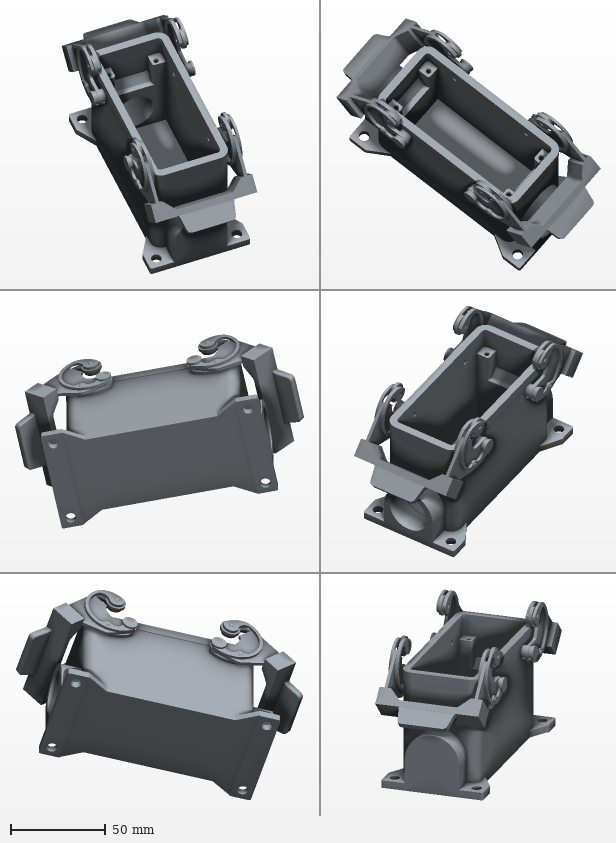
import cadquery as cq
import math

BODY_HALF_X = 47.1
BODY_HALF_Y = 21.8
BODY_CORNER_R = 6.2
BODY_BOTTOM = 0.5
RIM_LIP = 0.3
RIM_BOTTOM = 57.4
RIM_TOP = 63.0
CAVITY_HALF_X = 43.2
CAVITY_HALF_Y = 18.0
CAVITY_CORNER_R = 2.1
FLOOR_Z = 4.2

POST_FACE_X = 35.9
POST_SIDE_Y = 10.6
POST_TOP = 51.0
POST_EDGE_R = 1.5
POST_HOLE_X = 38.6
POST_HOLE_Y = 13.5
POST_HOLE_R = 1.2
POST_HOLE_CHAMFER = 0.5
POST_HOLE_DEPTH = 9.1
LEDGE_Z = 35.3
RAMP_START_X = 39.1
RAMP_TOP = 39.5

FOOT_END_X = 58.6
FOOT_HALF_Y = 28.6
FOOT_TOP = 4.2
FOOT_CORNER_R = 1.0
GUSSET_END_X = 35.6
FOOT_HOLE_X = 52.7
FOOT_HOLE_Y = 23.0
FOOT_HOLE_R = 2.8

ENTRY_Z = 17.9
ENTRY_R = 15.3
MOUTH_R = 11.59
MOUTH_DEPTH = 13.5
BORE_R = 11.29

INNER_CLIP_Y = 22.4
PLATE_IN_Y = 24.4
PLATE_OUT_Y = 26.2
OUTER_CLIP_Y = 27.7
RIVET_HEAD_Y = 28.2
PIVOT_HEAD_Y = 29.0
CROSSBAR_HALF_Y = 29.01

CLIP_CENTRE = (-32.9, 62.3)
CLIP_OUTER_R = 16.2
CLIP_INNER_R = 14.4
CLIP_TOP_ANGLE = 119
HOOK = (-31.7, 71.2)
HOOK_R = 4.2
ROLLER_R = 5.5
PIVOT = (-24.5, 53.5)
PIVOT_R = 4.1
PIVOT_SHAFT_R = 3.6
PIN_HOLE_R = 1.5
PIN_HOLE_DEPTH = 1.0
RIVET = (-36.7, 49.2)
RIVET_R = 1.4
RIVET_CHAMFER = 0.38
RIVET_DIMPLE_R = 1.0
RIVET_DIMPLE_DEPTH = 0.5
RIVET_PAD_R = 2.3
PLATE_LOBE_R = 5.2
ARM_EDGE_LENGTH = 22.1

BAR_CORNER = (-60.0, 57.9)
BAR_ANGLE = 45
BAR_DEPTH = 14.2
BAR_LENGTH = 10.0
BAR_WEB = 3.8
OPENING_TOP_HALF_Y = 22.4
OPENING_BASE_HALF_Y = 16.2
OPENING_FILLET_R = 2.5
TAB_ANGLE = 34
TAB_THICKNESS = 3.8
TAB_TIP = (-75.7, 44.8)
TAB_TIP_HALF_Y = 13.6
TAB_NECK_HALF_Y = 15.3
TAB_ROOT_HALF_Y = 18.5
TAB_NECK_X = 8.8
TAB_LENGTH = 13.3
TAB_CORNER_R = 2.5
TAB_EDGE_R = 0.5
TAB_FLARE_MID = (11.2, 16.4)


def rounded_block(half_x, half_y, z_low, z_high, corner_r):
    block = cq.Workplane("XY").workplane(offset=z_low).rect(2 * half_x, 2 * half_y)
    return block.extrude(z_high - z_low).edges("|Z").fillet(corner_r)


def box(x_range, y_range, z_range):
    sizes = [high - low for low, high in (x_range, y_range, z_range)]
    return cq.Workplane("XY").box(*sizes, centered=False).translate((x_range[0], y_range[0], z_range[0]))


def with_mirror(shape, plane):
    return shape.union(shape.mirror(plane))


def on_circle(centre, radius, degrees):
    angle = math.radians(degrees)
    return (centre[0] + radius * math.cos(angle), centre[1] + radius * math.sin(angle))


def layer(profile, y_low, y_high):
    """Extrude an XZ profile between two distances on the -Y side."""
    return profile.extrude(y_high - y_low).translate((0, -y_low, 0))


def disc(centre, radius, y_low, y_high):
    return layer(cq.Workplane("XZ").center(*centre).circle(radius), y_low, y_high)


def make_shell():
    lower = rounded_block(BODY_HALF_X, BODY_HALF_Y, BODY_BOTTOM, RIM_BOTTOM, BODY_CORNER_R)
    rim = rounded_block(BODY_HALF_X + RIM_LIP, BODY_HALF_Y + RIM_LIP, RIM_BOTTOM, RIM_TOP,
                        BODY_CORNER_R + RIM_LIP)
    return lower.union(rim)


def make_feet():
    """Flange strip, gussets and cable boss at the -X end, repeated at +X."""
    strip = box((-FOOT_END_X, -BODY_HALF_X), (-FOOT_HALF_Y, FOOT_HALF_Y), (0, FOOT_TOP))
    strip = strip.edges("|Z and <X").fillet(FOOT_CORNER_R)
    gusset = (
        cq.Workplane("XY").workplane(offset=BODY_BOTTOM)
        .moveTo(-BODY_HALF_X, 0)
        .lineTo(-BODY_HALF_X, -FOOT_HALF_Y)
        .lineTo(-GUSSET_END_X, -BODY_HALF_Y)
        .lineTo(-GUSSET_END_X, 0)
        .close().extrude(FOOT_TOP - BODY_BOTTOM)
    )
    hole_spots = [(-FOOT_HOLE_X, -FOOT_HOLE_Y), (-FOOT_HOLE_X, FOOT_HOLE_Y)]
    holes = cq.Workplane("XY").pushPoints(hole_spots).circle(FOOT_HOLE_R).extrude(FOOT_TOP)
    boss = (
        cq.Workplane("YZ").workplane(offset=-FOOT_END_X)
        .moveTo(-ENTRY_R, 0)
        .lineTo(-ENTRY_R, ENTRY_Z)
        .threePointArc((0, ENTRY_Z + ENTRY_R), (ENTRY_R, ENTRY_Z))
        .lineTo(ENTRY_R, 0)
        .close().extrude(FOOT_END_X - BODY_HALF_X)
    )
    foot = strip.union(with_mirror(gusset, "XZ")).cut(holes).union(boss)
    return with_mirror(foot, "YZ")


def make_cavity():
    """Open-topped space to remove, less the end blocks and the screw posts."""
    cavity = rounded_block(CAVITY_HALF_X, CAVITY_HALF_Y, FLOOR_Z, RIM_TOP, CAVITY_CORNER_R)
    end_block = (
        cq.Workplane("XZ").moveTo(-BODY_HALF_X, FLOOR_Z)
        .lineTo(-POST_FACE_X, FLOOR_Z)
        .lineTo(-POST_FACE_X, LEDGE_Z)
        .lineTo(-RAMP_START_X, LEDGE_Z)
        .lineTo(-CAVITY_HALF_X, RAMP_TOP)
        .lineTo(-BODY_HALF_X, RAMP_TOP)
        .close().extrude(CAVITY_HALF_Y, both=True)
    )
    post = box((-BODY_HALF_X, -POST_FACE_X), (-BODY_HALF_Y, -POST_SIDE_Y), (FLOOR_Z, POST_TOP))
    post = post.edges("|Z and >X and >Y").fillet(POST_EDGE_R)
    hole = (
        cq.Workplane("XZ")
        .lineTo(POST_HOLE_R + POST_HOLE_CHAMFER, 0)
        .lineTo(POST_HOLE_R, -POST_HOLE_CHAMFER)
        .lineTo(POST_HOLE_R, -POST_HOLE_DEPTH)
        .lineTo(0, -POST_HOLE_DEPTH - POST_HOLE_R)
        .close().revolve(360, (0, 0), (0, 1))
    )
    post = post.cut(hole.translate((-POST_HOLE_X, -POST_HOLE_Y, POST_TOP)))
    fittings = end_block.union(with_mirror(post, "XZ"))
    return cavity.cut(with_mirror(fittings, "YZ"))


def make_entry_bore():
    """Stepped bore from the -X boss into the cavity; the +X boss stays blank."""
    bore_start = cq.Workplane("YZ").workplane(offset=-FOOT_END_X).center(0, ENTRY_Z)
    mouth = bore_start.circle(MOUTH_R).extrude(MOUTH_DEPTH)
    return mouth.union(bore_start.circle(BORE_R).extrude(FOOT_END_X - POST_FACE_X))


def clip_profile():
    """C-shaped spring clip: hook end at the top, pivot end at the bottom."""
    def outer(degrees):
        return on_circle(CLIP_CENTRE, CLIP_OUTER_R, degrees)

    def inner(degrees):
        return on_circle(CLIP_CENTRE, CLIP_INNER_R, degrees)

    def hook(degrees):
        return on_circle(HOOK, HOOK_R, degrees)

    def rivet_pad(degrees):
        return on_circle(RIVET, RIVET_PAD_R, degrees)

    return (
        cq.Workplane("XZ")
        .moveTo(*outer(-45))
        .threePointArc(outer(-155), outer(CLIP_TOP_ANGLE))
        .threePointArc((-33.6, 76.5), hook(20))
        .threePointArc(hook(-80), hook(180))
        .threePointArc((-37.9, 73.5), inner(126))
        .threePointArc(inner(180), inner(236))
        .lineTo(*rivet_pad(140))
        .threePointArc(rivet_pad(90), rivet_pad(40))
        .threePointArc((-31.7, 49.2), on_circle(PIVOT, PIVOT_SHAFT_R, 190))
        .lineTo(*PIVOT)
        .close()
    )


def plate_profile():
    """Flat arm between the two clips, running from the pivot to the crossbar."""
    bar_far = on_circle(BAR_CORNER, BAR_DEPTH, BAR_ANGLE - 90)
    return (
        cq.Workplane("XZ")
        .moveTo(*BAR_CORNER)
        .lineTo(*on_circle(BAR_CORNER, ARM_EDGE_LENGTH, BAR_ANGLE))
        .lineTo(-36.4, 66.2)
        .lineTo(-37.1, 65.0)
        .lineTo(-37.1, 63.0)
        .lineTo(-34.4, 58.2)
        .lineTo(-31.8, 57.5)
        .lineTo(PIVOT[0], PIVOT[1] + PIVOT_R)
        .lineTo(PIVOT[0], PIVOT[1] - PIVOT_R)
        .lineTo(*on_circle(RIVET, PLATE_LOBE_R, -60))
        .threePointArc(on_circle(RIVET, PLATE_LOBE_R, -90), on_circle(RIVET, PLATE_LOBE_R, -108))
        .lineTo(*bar_far)
        .close()
    )


def make_lever_arm():
    """One arm on the -Y side: two clips, the plate, the roller, rivets and pivot."""
    arm = layer(plate_profile(), PLATE_IN_Y, PLATE_OUT_Y)
    arm = arm.union(layer(clip_profile(), INNER_CLIP_Y, PLATE_IN_Y))
    arm = arm.union(layer(clip_profile(), PLATE_OUT_Y, OUTER_CLIP_Y))
    arm = arm.union(disc(HOOK, ROLLER_R, PLATE_IN_Y, PLATE_OUT_Y))
    for spot in (HOOK, RIVET):
        rivet = disc(spot, RIVET_R, INNER_CLIP_Y, RIVET_HEAD_Y)
        arm = arm.union(rivet.faces("<Y").chamfer(RIVET_CHAMFER))
        arm = arm.cut(disc(spot, RIVET_DIMPLE_R, INNER_CLIP_Y, INNER_CLIP_Y + RIVET_DIMPLE_DEPTH))
    arm = arm.union(disc(PIVOT, PIVOT_SHAFT_R, CAVITY_HALF_Y, PIVOT_HEAD_Y))
    arm = arm.union(disc(PIVOT, PIVOT_R, PLATE_IN_Y, PLATE_OUT_Y))
    return arm.union(disc(PIVOT, PIVOT_R, OUTER_CLIP_Y, PIVOT_HEAD_Y))


def make_crossbar():
    """Square-ended bar joining both arms, opened in the middle toward the housing.

    Built with X along the lever toward its tip, then mirrored and tilted into place.
    """
    bar = box((0, BAR_LENGTH), (-CROSSBAR_HALF_Y, CROSSBAR_HALF_Y), (-BAR_DEPTH, 0))
    base_x = BAR_LENGTH - BAR_WEB
    opening = (
        cq.Workplane("XY")
        .moveTo(0, -OPENING_TOP_HALF_Y)
        .lineTo(base_x, -OPENING_BASE_HALF_Y)
        .lineTo(base_x, OPENING_BASE_HALF_Y)
        .lineTo(0, OPENING_TOP_HALF_Y)
        .close().extrude(-BAR_DEPTH)
        .edges("|Z and >X").fillet(OPENING_FILLET_R)
    )
    return bar.cut(opening)


def make_tab():
    """Thumb tab, built flat with its tip at X = 0 and its root toward +X."""
    half = (
        cq.Workplane("XY")
        .lineTo(0, TAB_TIP_HALF_Y)
        .lineTo(TAB_NECK_X, TAB_NECK_HALF_Y)
        .threePointArc(TAB_FLARE_MID, (TAB_LENGTH, TAB_ROOT_HALF_Y))
        .lineTo(TAB_LENGTH, 0)
        .close().extrude(-TAB_THICKNESS)
    )
    blank = with_mirror(half, "XZ").clean()
    blank = blank.edges("|Z and <X").fillet(TAB_CORNER_R)
    underside_edges = blank.faces("<Z").edges("not(>X)")
    return underside_edges.chamfer(TAB_EDGE_R)


def make_lever():
    """Complete lever at the -X end."""
    arms = with_mirror(make_lever_arm(), "XZ")
    bar = make_crossbar().mirror("YZ").rotate((0, 0, 0), (0, 1, 0), -BAR_ANGLE)
    bar = bar.translate((BAR_CORNER[0], 0, BAR_CORNER[1]))
    tab = make_tab().rotate((0, 0, 0), (0, 1, 0), -TAB_ANGLE).translate((TAB_TIP[0], 0, TAB_TIP[1]))
    return arms.union(bar).union(tab)


def make_pin_recesses():
    """Shallow recesses at the inner ends of the pivot pins."""
    recess = disc(PIVOT, PIN_HOLE_R, CAVITY_HALF_Y, CAVITY_HALF_Y + PIN_HOLE_DEPTH)
    return with_mirror(with_mirror(recess, "XZ"), "YZ")


housing = make_shell().union(make_feet()).cut(make_cavity()).cut(make_entry_bore())
levers = with_mirror(make_lever(), "YZ")
result = housing.union(levers).cut(make_pin_recesses())